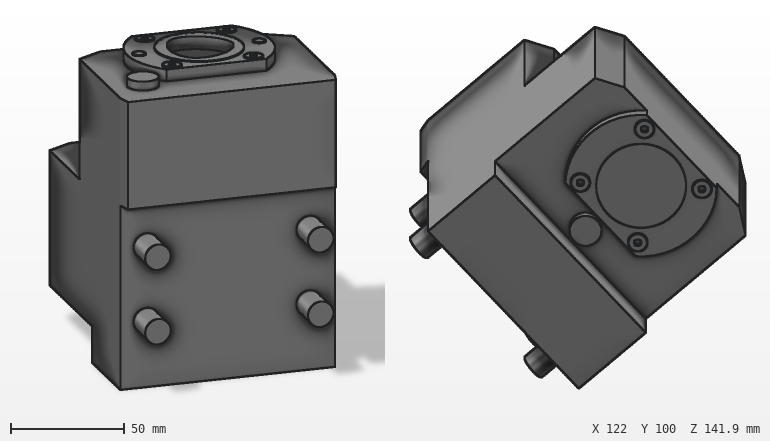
import cadquery as cq
import math


WIDTH = 100.0
HALF_WIDTH = WIDTH / 2
BACK_X = 105.8
UPPER_FRONT_X = 41.7
FOOT_FRONT_X = 66.0
FOOT_HEIGHT = 17.0
STEP_Z = 80.0
BODY_TOP_Z = 136.0
CORNER_RUN_Y = 11.9
CORNER_ANGLE = math.radians(30)
CORNER_RUN_X = CORNER_RUN_Y * math.tan(CORNER_ANGLE)

PLATE_THICKNESS = 5.8
PLATE_BOTTOM_Z = 85.9
PLATE_TAPER = math.radians(15)

PIN_DIAMETER = 11.9
PIN_LENGTH = 16.2
PIN_HALF_SPACING_Y = 37.9
PIN_HEIGHTS = (31.1, 65.9)

FLANGE_RADIUS = 33.5
FLANGE_HALF_FLAT = 24.1
FLANGE_THICKNESS = 5.5
RAISED_STEP = 0.4
RING_DIAMETER = 39.8
FLANGE_OVERALL = FLANGE_THICKNESS + RAISED_STEP

POCKET_MEAN_RADIUS = 14.8
POCKET_LOBE = 0.9
POCKET_DEPTH = FLANGE_OVERALL
POCKET_CURVE_POINTS = 60

SCREW_OFFSET = 19.0
SCREW_HEAD_DIAMETER = 8.8
SCREW_HEAD_CHAMFER = 0.35
SCREW_SOCKET_DIAMETER = 3.1
SCREW_SOCKET_DEPTH = 2.0
DOWEL_OFFSET_Y = 28.0
DOWEL_DIAMETER = 6.1
DOWEL_CHAMFER = 0.35

PLUG_DIAMETER = 14.2
PLUG_HEIGHT = 4.1
UPPER_PLUG_X = 91.9
UPPER_PLUG_Y = -35.0
LOWER_PLUG_X = 57.1


def chamfered_block(front_x, bottom_z, top_z):
    """Block reaching to the back face, with both front vertical corners cut."""
    inner_y = HALF_WIDTH - CORNER_RUN_Y
    side_x = front_x + CORNER_RUN_X
    outline = [
        (BACK_X, -HALF_WIDTH),
        (BACK_X, HALF_WIDTH),
        (side_x, HALF_WIDTH),
        (front_x, inner_y),
        (front_x, -inner_y),
        (side_x, -HALF_WIDTH),
    ]
    return cq.Workplane("XY", origin=(0, 0, bottom_z)).polyline(outline).close().extrude(top_z - bottom_z)


def foot():
    """Plain rectangular foot under the rear of the body."""
    length = BACK_X - FOOT_FRONT_X
    plane = cq.Workplane("XY", origin=(FOOT_FRONT_X, 0, 0))
    return plane.box(length, WIDTH, FOOT_HEIGHT, centered=(False, True, False))


def back_plate():
    """Plate on the back face that narrows away from the body."""
    rear_x = BACK_X + PLATE_THICKNESS
    rear_y = HALF_WIDTH - PLATE_THICKNESS * math.tan(PLATE_TAPER)
    outline = [
        (BACK_X, -HALF_WIDTH),
        (rear_x, -rear_y),
        (rear_x, rear_y),
        (BACK_X, HALF_WIDTH),
    ]
    plane = cq.Workplane("XY", origin=(0, 0, PLATE_BOTTOM_Z))
    return plane.polyline(outline).close().extrude(BODY_TOP_Z - PLATE_BOTTOM_Z)


def pins():
    """Four locating pins standing out of the back face."""
    centres = [(y, z) for y in (-PIN_HALF_SPACING_Y, PIN_HALF_SPACING_Y) for z in PIN_HEIGHTS]
    plane = cq.Workplane("YZ", origin=(BACK_X, 0, 0))
    return plane.pushPoints(centres).circle(PIN_DIAMETER / 2).extrude(PIN_LENGTH)


def post(x, y, diameter, height):
    """Upright cylinder standing on z = 0."""
    return cq.Workplane("XY").center(x, y).circle(diameter / 2).extrude(height)


def flange():
    """Flange standing on z = 0 and centred on the Z axis, with raised ring and screws."""
    disc = post(0, 0, 2 * FLANGE_RADIUS, FLANGE_THICKNESS)
    flats = cq.Workplane("XY").rect(2 * FLANGE_HALF_FLAT, 2 * FLANGE_RADIUS).extrude(FLANGE_THICKNESS)
    solid = disc.intersect(flats)
    solid = solid.union(post(0, 0, RING_DIAMETER, FLANGE_OVERALL))
    sockets = cq.Workplane("XY", origin=(0, 0, FLANGE_OVERALL))
    sockets = sockets.rect(2 * SCREW_OFFSET, 2 * SCREW_OFFSET, forConstruction=True).vertices()
    sockets = sockets.circle(SCREW_SOCKET_DIAMETER / 2).extrude(-SCREW_SOCKET_DEPTH)
    for x in (-SCREW_OFFSET, SCREW_OFFSET):
        for y in (-SCREW_OFFSET, SCREW_OFFSET):
            head = post(x, y, SCREW_HEAD_DIAMETER, FLANGE_OVERALL)
            solid = solid.union(head.faces(">Z").chamfer(SCREW_HEAD_CHAMFER))
    return solid.cut(sockets)


def dowels():
    """Pair of chamfered dowel ends on the Y axis of the upper flange."""
    pair = cq.Workplane("XY")
    for y in (-DOWEL_OFFSET_Y, DOWEL_OFFSET_Y):
        dowel = post(0, y, DOWEL_DIAMETER, FLANGE_OVERALL)
        pair = pair.add(dowel.faces(">Z").chamfer(DOWEL_CHAMFER))
    return pair.combine()


def lobe_point(turn):
    """Point on the constant-width pocket outline, with one lobe towards +Y."""
    angle = 2 * math.pi * turn
    reach = POCKET_MEAN_RADIUS - POCKET_LOBE * math.sin(3 * angle)
    slope = -3 * POCKET_LOBE * math.cos(3 * angle)
    x = reach * math.cos(angle) - slope * math.sin(angle)
    y = reach * math.sin(angle) + slope * math.cos(angle)
    return (x, y)


def lobed_pocket():
    """Cutter for the three-lobed pocket of the upper flange."""
    plane = cq.Workplane("XY", origin=(0, 0, FLANGE_OVERALL))
    outline = plane.parametricCurve(lobe_point, N=POCKET_CURVE_POINTS)
    return outline.extrude(-POCKET_DEPTH)


lower_block = chamfered_block(0, FOOT_HEIGHT, STEP_Z)
upper_block = chamfered_block(UPPER_FRONT_X, STEP_Z, BODY_TOP_Z)
body = lower_block.union(upper_block).union(foot()).union(back_plate()).union(pins())

upper_flange = flange().union(dowels()).cut(lobed_pocket())
upper_flange = upper_flange.translate((UPPER_FRONT_X + FLANGE_HALF_FLAT, 0, BODY_TOP_Z))
lower_flange = flange().mirror("XY").translate((FLANGE_HALF_FLAT, 0, FOOT_HEIGHT))

upper_plug = post(UPPER_PLUG_X, UPPER_PLUG_Y, PLUG_DIAMETER, PLUG_HEIGHT).translate((0, 0, BODY_TOP_Z))
lower_plug = post(LOWER_PLUG_X, 0, PLUG_DIAMETER, PLUG_HEIGHT).translate((0, 0, FOOT_HEIGHT - PLUG_HEIGHT))

result = body.union(upper_flange).union(lower_flange).union(upper_plug).union(lower_plug)